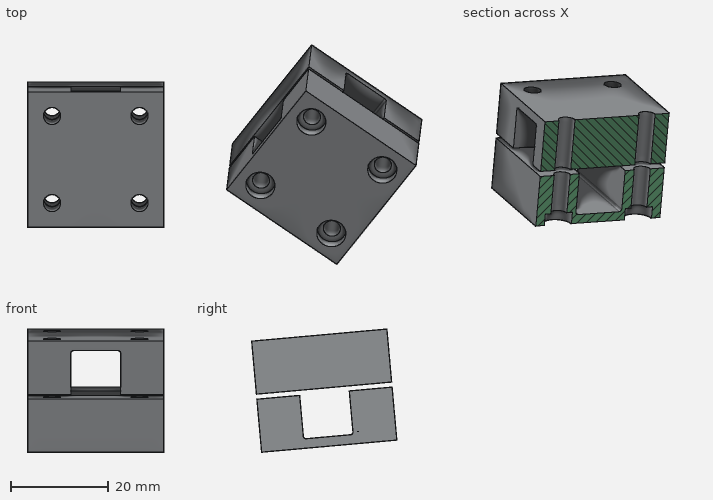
import cadquery as cq

block_side = 28.0
block_height = 11.0
gap = 1.0
tilt_angle = 5.12

channel_width = 10.2
channel_depth = 9.0
channel_corner_radius = 0.5

hole_diameter = 3.5
hole_spacing = 18.0
counterbore_diameter = 6.0
counterbore_depth = 2.5


def hole_pattern(diameter, depth):
    """Four cylinders on the bolt pattern, rising from Z = 0."""
    return (
        cq.Workplane("XY")
        .rect(hole_spacing, hole_spacing, forConstruction=True)
        .vertices()
        .circle(diameter / 2)
        .extrude(depth)
    )


def channelled_block():
    """Block standing on Z = 0, with a channel along X open at the top and four bolt holes."""
    block = cq.Workplane("XY").box(block_side, block_side, block_height, centered=(True, True, False))
    channel = (
        cq.Workplane("XY")
        .workplane(offset=block_height - channel_depth)
        .box(block_side, channel_width, channel_depth, centered=(True, True, False))
        .edges("|X and <Z")
        .fillet(channel_corner_radius)
    )
    return block.cut(channel).cut(hole_pattern(hole_diameter, block_height))


def tilted(body):
    """Turn a body about the X axis into its leaning position."""
    return body.rotate((0, 0, 0), (1, 0, 0), tilt_angle)


lower_block = tilted(
    channelled_block()
    .cut(hole_pattern(counterbore_diameter, counterbore_depth))
    .translate((0, 0, -block_height - gap / 2))
)

upper_block = tilted(
    channelled_block()
    .rotate((0, 0, 0), (0, 0, 1), 90)
    .rotate((0, 0, 0), (1, 0, 0), 180)
    .translate((0, 0, block_height + gap / 2))
)

result = cq.Compound.makeCompound([lower_block.val(), upper_block.val()])